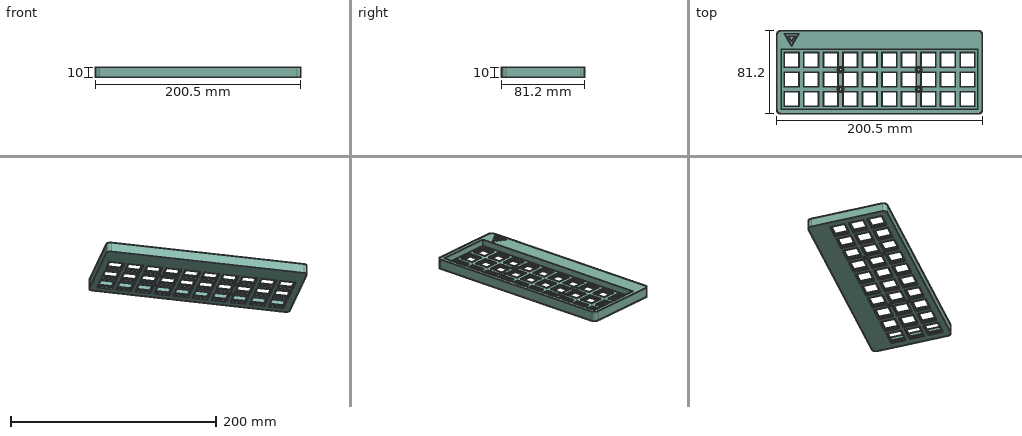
import cadquery as cq

length = 200.5
width = 81.2
height = 10.0
corner_radius = 4.0

columns = 10
rows = 3
pitch = 19.0
opening = 14.0

plate_thickness = 3.5
wall = 4.6
rear_band = 18.2
pocket_length = length - 2 * wall
pocket_width = width - wall - rear_band
pocket_y = (wall - rear_band) / 2

grid_length = (columns - 1) * pitch + opening
grid_width = (rows - 1) * pitch + opening
opening_margin = (pocket_length - grid_length) / 2
grid_y = -width / 2 + wall + opening_margin + grid_width / 2

lip_thickness = 1.5
relief_width = 14.8
relief_depth = plate_thickness - lip_thickness

columns_between_screws = 4
screw_spacing_x = columns_between_screws * pitch
screw_spacing_y = pitch
screw_diameter = 3.0
countersink_diameter = 6.0
countersink_angle = 90

groove_depth = 1.0
groove_center_x = -85.8
groove_base = 14.0
groove_drop = 12.0
groove_base_y = 37.7
island_base = 6.8
island_drop = 5.0
island_base_y = 35.0


def key_prisms(side, depth):
    """Square prisms rising from the bottom face at every key opening."""
    centres = cq.Workplane("XY", origin=(0, grid_y, 0)).rarray(pitch, pitch, columns, rows)
    return centres.rect(side, side).extrude(depth)


def triangle_prism(base, drop, base_y):
    """Triangle pointing to the front, sunk into the top face."""
    return (
        cq.Workplane("XY", origin=(groove_center_x, base_y, height - groove_depth))
        .moveTo(-base / 2, 0)
        .lineTo(base / 2, 0)
        .lineTo(0, -drop)
        .close()
        .extrude(groove_depth)
    )


body = cq.Workplane("XY").box(length, width, height, centered=(True, True, False))
body = body.edges("|Z").fillet(corner_radius)

pocket = (
    cq.Workplane("XY", origin=(0, pocket_y, plate_thickness))
    .rect(pocket_length, pocket_width)
    .extrude(height - plate_thickness)
)
openings = key_prisms(opening, plate_thickness)
reliefs = key_prisms(relief_width, relief_depth)
groove = triangle_prism(groove_base, groove_drop, groove_base_y)
island = triangle_prism(island_base, island_drop, island_base_y)

result = body.cut(pocket).cut(openings).cut(reliefs).cut(groove.cut(island))

result = (
    result.copyWorkplane(cq.Workplane("XY", origin=(0, grid_y, plate_thickness)))
    .rarray(screw_spacing_x, screw_spacing_y, 2, 2)
    .cskHole(screw_diameter, countersink_diameter, countersink_angle)
)